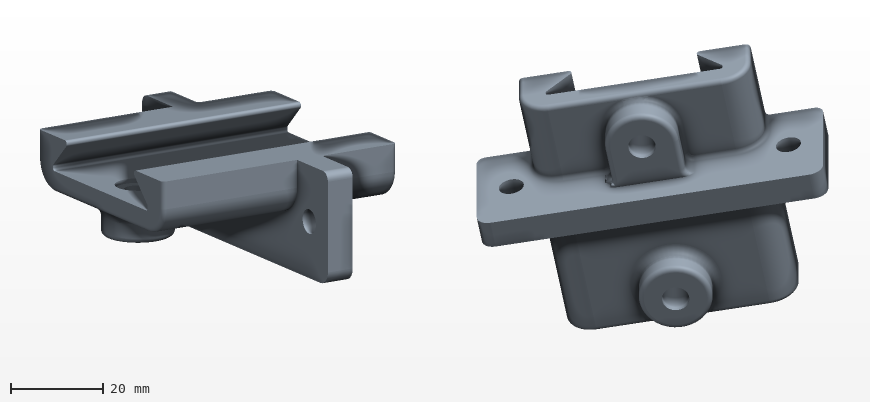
import cadquery as cq

BODY_WIDTH = 51.0
BODY_LENGTH = 59.7
BODY_HEIGHT = 12.65
BODY_CORNER_RADIUS = 6.4
BODY_END_RADIUS = 1.1

CHANNEL_DEPTH = 7.9
LIP_HALF_GAP = 13.8
FLOOR_HALF_WIDTH = 19.4
LIP_LAND = 1.1
LIP_TOP_RADIUS = 0.8
CHANNEL_CORNER_RADIUS = 0.6

PLATE_WIDTH = 76.2
PLATE_HEIGHT = 25.4
PLATE_THICKNESS = 6.3
PLATE_BACK_Y = BODY_LENGTH / 2 - 19.05
PLATE_TOP_RADIUS = 2.0
PLATE_BOTTOM_RADIUS = 3.05
EAR_HOLE_DIAMETER = 5.5
EAR_HOLE_SPACING = 60.95

BOSS_SPACING = 40.55
FRONT_BOSS_Y = -BOSS_SPACING / 2
REAR_BOSS_Y = BOSS_SPACING / 2
BOSS_DIAMETER = 16.0
BOSS_BOTTOM_Z = -19.05
BOSS_HEIGHT = -BOSS_BOTTOM_Z - (BODY_HEIGHT + CHANNEL_DEPTH) / 2
BOSS_EDGE_RADIUS = 1.15
FRONT_BOSS_FILLET = 2.0
REAR_BOSS_SIDE_FILLET = 1.8
REAR_FILLET = 1.0

SCREW_HOLE_DIAMETER = 5.95
COUNTERBORE_DIAMETER = 10.05
COUNTERBORE_DEPTH = 1.0

TOLERANCE = 0.01


def edges_inside(solid, x_limit, y_range, z_range):
    """Edges that lie wholly inside a box spanning -x_limit..x_limit."""
    low = (-x_limit - TOLERANCE, y_range[0] - TOLERANCE, z_range[0] - TOLERANCE)
    high = (x_limit + TOLERANCE, y_range[1] + TOLERANCE, z_range[1] + TOLERANCE)
    return solid.edges(cq.selectors.BoxSelector(low, high, boundingbox=True))


def block(width, y_range, height):
    """Box centred on X with its top face at z = 0."""
    length = y_range[1] - y_range[0]
    box = cq.Workplane("XY").box(width, length, height, centered=(True, False, False))
    return box.translate((0, y_range[0], -height))


def make_body():
    body = block(BODY_WIDTH, (-BODY_LENGTH / 2, BODY_LENGTH / 2), BODY_HEIGHT)
    body = body.edges("|Y and <Z").fillet(BODY_CORNER_RADIUS)
    return body.edges("(<Y or >Y) and (not >Z)").fillet(BODY_END_RADIUS)


def make_plate():
    plate = block(PLATE_WIDTH, (PLATE_BACK_Y - PLATE_THICKNESS, PLATE_BACK_Y), PLATE_HEIGHT)
    plate = plate.edges("|Y and >Z").fillet(PLATE_TOP_RADIUS)
    return plate.edges("|Y and <Z").fillet(PLATE_BOTTOM_RADIUS)


def boss_cylinder(center_y):
    base = cq.Workplane("XY", origin=(0, center_y, BOSS_BOTTOM_Z))
    return base.circle(BOSS_DIAMETER / 2).extrude(BOSS_HEIGHT)


def add_front_boss(body):
    boss = boss_cylinder(FRONT_BOSS_Y).faces("<Z").edges().fillet(BOSS_EDGE_RADIUS)
    joined = body.union(boss)
    y_range = (FRONT_BOSS_Y - BOSS_DIAMETER / 2, FRONT_BOSS_Y + BOSS_DIAMETER / 2)
    root = edges_inside(joined, BOSS_DIAMETER / 2, y_range, (-BODY_HEIGHT, -BODY_HEIGHT))
    return root.fillet(FRONT_BOSS_FILLET)


def add_rear_boss(plate):
    """Add the round-ended rear boss, whose straight sides blend into the plate."""
    middle_of_plate = PLATE_BACK_Y - PLATE_THICKNESS / 2
    bridge_length = REAR_BOSS_Y - middle_of_plate
    base = cq.Workplane("XY", origin=(0, REAR_BOSS_Y - bridge_length / 2, BOSS_BOTTOM_Z))
    bridge = base.rect(BOSS_DIAMETER, bridge_length).extrude(BOSS_HEIGHT)
    joined = plate.union(boss_cylinder(REAR_BOSS_Y)).union(bridge)

    z_range = (BOSS_BOTTOM_Z, BOSS_BOTTOM_Z + BOSS_HEIGHT)
    sides = edges_inside(joined, BOSS_DIAMETER / 2, (PLATE_BACK_Y, PLATE_BACK_Y), z_range)
    joined = sides.edges("|Z").fillet(REAR_BOSS_SIDE_FILLET)

    boss_bottom = cq.selectors.NearestToPointSelector((0, REAR_BOSS_Y, BOSS_BOTTOM_Z))
    return joined.faces(boss_bottom).edges("not |X").fillet(BOSS_EDGE_RADIUS)


def blend_rear(part):
    """Fillet the body into the plate's back face and the rear boss into the body."""
    z_range = (-BODY_HEIGHT, 0)
    plate_joint = edges_inside(part, BODY_WIDTH / 2, (PLATE_BACK_Y, PLATE_BACK_Y), z_range)
    boss_end_y = REAR_BOSS_Y + BOSS_DIAMETER / 2
    boss_root = edges_inside(part, BODY_WIDTH / 2, (PLATE_BACK_Y, boss_end_y), (-BODY_HEIGHT, -BODY_HEIGHT))
    return part.newObject(plate_joint.vals() + boss_root.vals()).fillet(REAR_FILLET)


def dovetail_channel():
    """Cutter for the channel: 45-degree flanks under two rounded lips."""
    flank_bottom_z = -LIP_LAND - (FLOOR_HALF_WIDTH - LIP_HALF_GAP)
    half = [
        (LIP_HALF_GAP, 0),
        (LIP_HALF_GAP, -LIP_LAND),
        (FLOOR_HALF_WIDTH, flank_bottom_z),
        (FLOOR_HALF_WIDTH, -CHANNEL_DEPTH),
    ]
    mirrored = [(-x, z) for x, z in reversed(half)]
    outline = cq.Workplane("XZ").polyline(half + mirrored).close()
    cutter = outline.extrude(BODY_LENGTH / 2, both=True)
    return cutter.edges("|Y and (not >Z)").fillet(CHANNEL_CORNER_RADIUS)


def cut_screw_holes(part):
    floor = cq.Workplane("XY", origin=(0, 0, -CHANNEL_DEPTH))
    places = floor.pushPoints([(0, FRONT_BOSS_Y), (0, REAR_BOSS_Y)])
    part = part.cut(places.circle(SCREW_HOLE_DIAMETER / 2).extrude(-PLATE_HEIGHT))
    return part.cut(places.circle(COUNTERBORE_DIAMETER / 2).extrude(-COUNTERBORE_DEPTH))


def cut_ear_holes(part):
    middle = cq.Workplane("XZ", origin=(0, 0, -PLATE_HEIGHT / 2))
    places = middle.pushPoints([(-EAR_HOLE_SPACING / 2, 0), (EAR_HOLE_SPACING / 2, 0)])
    return part.cut(places.circle(EAR_HOLE_DIAMETER / 2).extrude(BODY_LENGTH / 2, both=True))


def round_lips(part):
    y_range = (-BODY_LENGTH / 2, BODY_LENGTH / 2)
    lips = edges_inside(part, LIP_HALF_GAP, y_range, (0, 0))
    return lips.edges("|Y").fillet(LIP_TOP_RADIUS)


result = add_front_boss(make_body()).union(add_rear_boss(make_plate()))
result = blend_rear(result)
result = round_lips(result.cut(dovetail_channel()))
result = cut_ear_holes(cut_screw_holes(result))